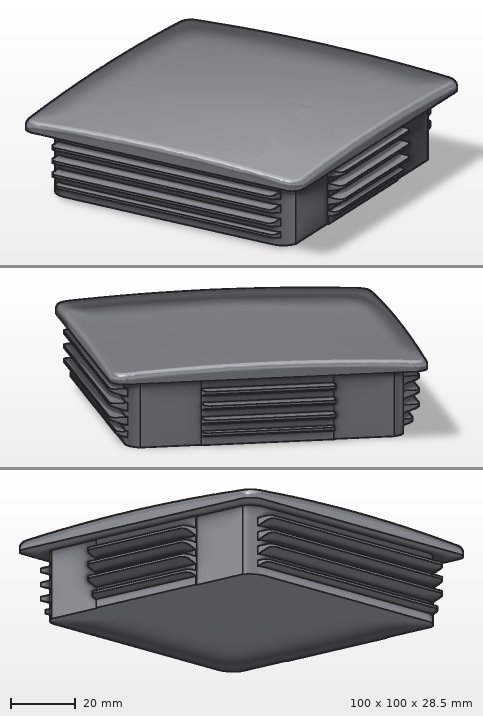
import cadquery as cq

cap_side = 100.0
cap_corner_radius = 4.5
cap_underside_z = 22.0
cap_rim_radius = 2.0
dome_top_z = 28.5
dome_radius = 680.0

plug_side = 87.8
plug_corner_radius = 6.3
relief_depth = 0.5
fin_pad_length = 41.8

fin_count = 4
top_fin_z = 18.2
fin_pitch = top_fin_z / fin_count
fin_tip_thickness = 0.8
fin_slope = 0.34
fin_reach = 5.0
lowest_fin_reach = 3.0
fin_corner_radius = 2.0
fin_length_x_walls = fin_pad_length
fin_length_y_walls = 80.0
fin_root_overlap = 1.0

plug_half = plug_side / 2


def make_cap():
    """Rounded square plate cut to a spherical top and blended around the rim."""
    plate = (
        cq.Workplane("XY", origin=(0, 0, cap_underside_z))
        .rect(cap_side, cap_side)
        .extrude(dome_top_z - cap_underside_z)
        .edges("|Z")
        .fillet(cap_corner_radius)
    )
    dome = cq.Workplane("XY", origin=(0, 0, dome_top_z - dome_radius)).sphere(dome_radius)
    return plate.intersect(dome).faces(">Z").edges().fillet(cap_rim_radius)


def make_plug():
    """Solid plug whose X walls are relieved outside the pad that carries the fins."""
    plug = (
        cq.Workplane("XY")
        .rect(plug_side, plug_side)
        .extrude(cap_underside_z)
        .edges("|Z")
        .fillet(plug_corner_radius)
    )
    relief_length = (plug_side - fin_pad_length) / 2
    relief_offset = (plug_side + fin_pad_length) / 4
    wall_centres = [
        (side * plug_half, end * relief_offset) for side in (-1, 1) for end in (-1, 1)
    ]
    reliefs = (
        cq.Workplane("XY")
        .pushPoints(wall_centres)
        .rect(2 * relief_depth, relief_length)
        .extrude(cap_underside_z)
    )
    return plug.cut(reliefs)


def make_fin(top_z, reach, length):
    """Fin on the +X wall: flat top, sloping underside, rounded outer corners."""
    inner_x = plug_half - fin_root_overlap
    tip_x = plug_half + reach
    tip_bottom_z = top_z - fin_tip_thickness
    inner_bottom_z = tip_bottom_z - fin_slope * (tip_x - inner_x)
    profile = [
        (inner_x, top_z),
        (tip_x, top_z),
        (tip_x, tip_bottom_z),
        (inner_x, inner_bottom_z),
    ]
    return (
        cq.Workplane("XZ")
        .polyline(profile)
        .close()
        .extrude(length / 2, both=True)
        .edges("|Z and >X")
        .fillet(fin_corner_radius)
    )


result = make_plug().union(make_cap())
for level in range(1, fin_count + 1):
    reach = lowest_fin_reach if level == 1 else fin_reach
    for wall in range(4):
        length = fin_length_x_walls if wall % 2 == 0 else fin_length_y_walls
        fin = make_fin(level * fin_pitch, reach, length)
        result = result.union(fin.rotate((0, 0, 0), (0, 0, 1), 90 * wall))